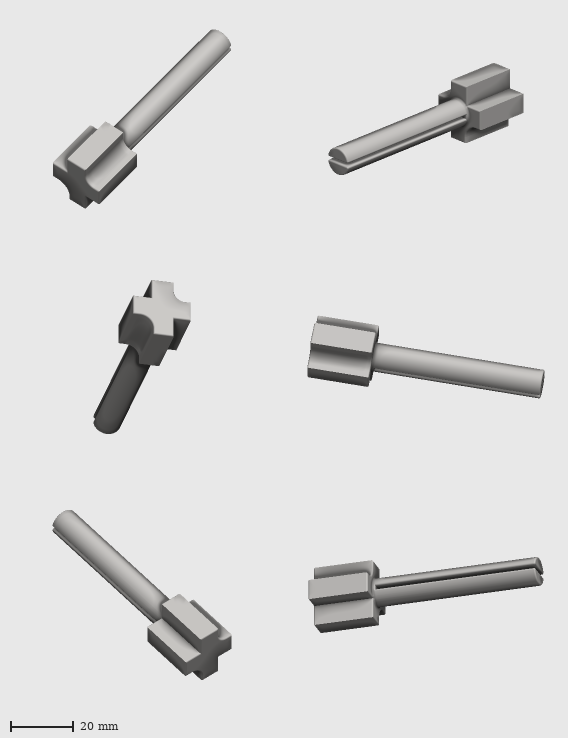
import cadquery as cq

total_length = 75.0
head_length = 20.0
edge_radius = 0.5

head_left = -9.75
head_right = 9.3
head_half_height = 10.05
upright_half_width = 3.7
lower_arm_left = -3.0
crossbar_half_height = 3.4
upper_corner_radius = 3.6
lower_corner_radius = 4.5

shaft_diameter = 9.3
shaft_radius = shaft_diameter / 2

shaft_root = head_length / 2

slot_width = 1.2
slot_floor_gap = 1.05
slot_edge_radius = 0.5


def make_head():
    """Cross prism with two rounded inner corners and rounded end edges."""
    outline = [
        (-upright_half_width, head_half_height),
        (upright_half_width, head_half_height),
        (upright_half_width, crossbar_half_height),
        (head_right, crossbar_half_height),
        (head_right, -crossbar_half_height),
        (upright_half_width, -crossbar_half_height),
        (upright_half_width, -head_half_height),
        (lower_arm_left, -head_half_height),
        (lower_arm_left, -crossbar_half_height),
        (head_left, -crossbar_half_height),
        (head_left, crossbar_half_height),
        (-upright_half_width, crossbar_half_height),
    ]
    head = cq.Workplane("XZ").polyline(outline).close().extrude(-head_length)
    rounded_corners = [
        (upright_half_width, crossbar_half_height, upper_corner_radius),
        (lower_arm_left, -crossbar_half_height, lower_corner_radius),
    ]
    for x, z, radius in rounded_corners:
        corner_point = (x, head_length / 2, z)
        head = head.edges(cq.selectors.NearestToPointSelector(corner_point)).fillet(radius)
    return head.faces("<Y or >Y").edges().fillet(edge_radius)


def make_shaft():
    """Round shaft with a rounded tip, split by a slot whose outer edges are rounded."""
    shaft = cq.Workplane("XZ", origin=(0, shaft_root, 0)).circle(shaft_radius)
    shaft = shaft.extrude(shaft_root - total_length)
    shaft = shaft.faces(">Y").edges().fillet(edge_radius)

    slot_floor = head_length + slot_floor_gap
    slot_length = total_length - slot_floor
    slot = cq.Workplane("XY", origin=(0, slot_floor + slot_length / 2, 0))
    shaft = shaft.cut(slot.box(2 * shaft_diameter, slot_length, slot_width))

    inner_x = shaft_radius - edge_radius
    outer_x = shaft_radius + edge_radius
    zone_start = slot_floor - edge_radius
    zone_end = total_length - edge_radius
    left_opening, right_opening = (
        cq.selectors.BoxSelector(
            (side * inner_x, zone_start, -slot_width),
            (side * outer_x, zone_end, slot_width),
        )
        for side in (-1, 1)
    )
    return shaft.edges(left_opening + right_opening).fillet(slot_edge_radius)


def blend_foot(body):
    """Fillet the shaft wall into the back of the head."""
    wall_point = (0, (head_length + total_length) / 2, 0)
    foot_zone = cq.selectors.BoxSelector(
        (-shaft_diameter, shaft_root, -shaft_diameter),
        (shaft_diameter, head_length + edge_radius / 2, shaft_diameter),
    )
    shaft_wall = body.faces(cq.selectors.NearestToPointSelector(wall_point))
    return shaft_wall.edges(foot_zone).fillet(edge_radius)


result = blend_foot(make_head().union(make_shaft()))